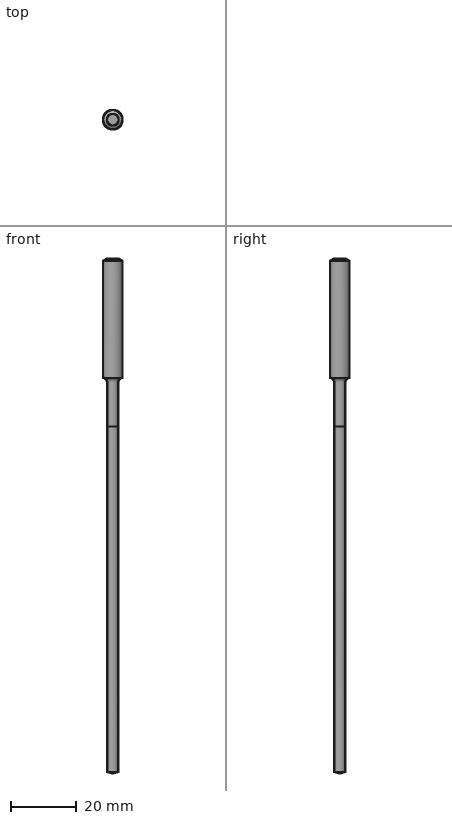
import cadquery as cq
import math


overall_length = 157.0
tip_height = 0.55
head_length = 28.6
cutting_length = 105.9
shank_length = 36.3
shank_bottom = overall_length - shank_length

drill_diameter = 3.5
body_diameter = 3.465
shank_diameter = 6.0

drill_radius = drill_diameter / 2
body_radius = body_diameter / 2
shank_radius = shank_diameter / 2

chamfer_width = 1.22
chamfer_height = 0.7

neck_round_radius = 1.4


def revolve_about_axis(profile):
    """Turn a closed half profile (radius, height) about the Z axis."""
    return profile.close().revolve(360, (0, 0, 0), (0, 1, 0))


def make_cutting_part():
    """Conical point, slightly back-tapered head and straight body."""
    profile = (
        cq.Workplane("XZ")
        .moveTo(0, 0)
        .lineTo(drill_radius, tip_height)
        .lineTo(body_radius, head_length)
        .lineTo(body_radius, cutting_length)
        .lineTo(0, cutting_length)
    )
    return revolve_about_axis(profile)


def make_shank_part():
    """Straight neck that flares through a concave round into the chamfered shank."""
    shoulder_width = shank_radius - body_radius
    round_angle = math.acos(1 - shoulder_width / neck_round_radius)
    round_start = shank_bottom - neck_round_radius * math.sin(round_angle)
    round_middle = (
        body_radius + neck_round_radius * (1 - math.cos(round_angle / 2)),
        round_start + neck_round_radius * math.sin(round_angle / 2),
    )
    profile = (
        cq.Workplane("XZ")
        .moveTo(0, cutting_length)
        .lineTo(body_radius, cutting_length)
        .lineTo(body_radius, round_start)
        .threePointArc(round_middle, (shank_radius, shank_bottom))
        .lineTo(shank_radius, overall_length - chamfer_height)
        .lineTo(shank_radius - chamfer_width, overall_length)
        .lineTo(0, overall_length)
    )
    return revolve_about_axis(profile)


cutting_part = make_cutting_part()
shank_part = make_shank_part()

result = cq.Compound.makeCompound([cutting_part.val(), shank_part.val()])